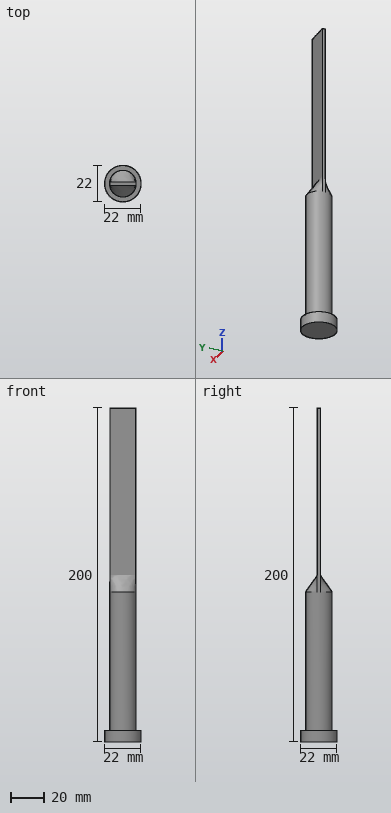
import cadquery as cq
import math

total_length = 200.0
head_diameter = 22.0
head_height = 7.0
shank_diameter = 16.0
blade_width = 15.5
blade_thickness = 2.0
blade_length = 100.0
transition_height = 10.0

blade_start = total_length - blade_length
shank_end = blade_start - transition_height


def make_head():
    return cq.Workplane("XY").circle(head_diameter / 2).extrude(head_height)


def make_shank():
    return cq.Workplane("XY").circle(shank_diameter / 2).extrude(shank_end)


def make_blade():
    blade = cq.Workplane("XY", origin=(0, 0, blade_start))
    return blade.rect(blade_width, blade_thickness).extrude(blade_length)


def make_transition():
    """Ruled loft from the round shank to the rectangular blade.

    The circle is split level with the blade faces, so each of its four arcs
    runs up to one side of the rectangle.
    """
    radius = shank_diameter / 2
    half_thickness = blade_thickness / 2
    half_width = blade_width / 2
    split_x = math.sqrt(radius**2 - half_thickness**2)

    return (
        cq.Workplane("XY", origin=(0, 0, shank_end))
        .moveTo(split_x, -half_thickness)
        .threePointArc((radius, 0), (split_x, half_thickness))
        .threePointArc((0, radius), (-split_x, half_thickness))
        .threePointArc((-radius, 0), (-split_x, -half_thickness))
        .threePointArc((0, -radius), (split_x, -half_thickness))
        .close()
        .workplane(offset=transition_height)
        .moveTo(half_width, -half_thickness)
        .lineTo(half_width, half_thickness)
        .lineTo(-half_width, half_thickness)
        .lineTo(-half_width, -half_thickness)
        .close()
        .loft(ruled=True)
    )


result = make_head().union(make_shank()).union(make_transition()).union(make_blade())